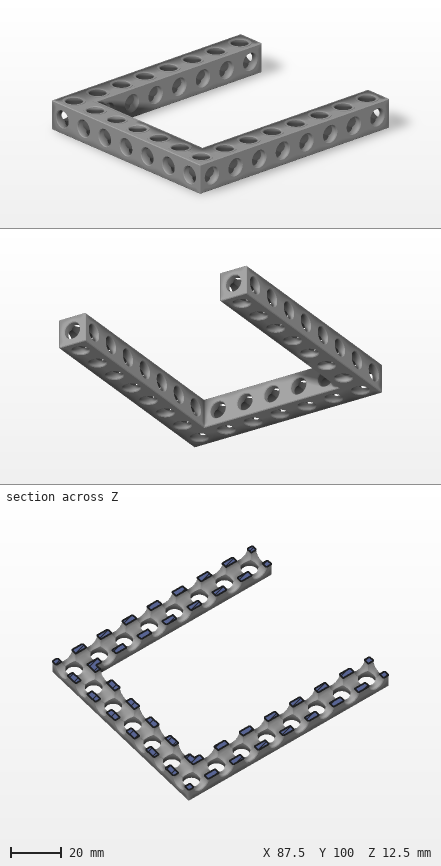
import cadquery as cq

pitch = 12.5
holes_across = 7
holes_along = 8
edge_chamfer = 0.3

bore_diameter = 7.0
mouth_chamfer = 0.3

recess_depth = 0.2
rim_width = 1.1
collar_diameter = 9.2
bridge_width = 0.1

width = holes_across * pitch
length = holes_along * pitch
half_pitch = pitch / 2
bore_radius = bore_diameter / 2
mouth_radius = bore_radius + mouth_chamfer

across = [(i + 0.5) * pitch for i in range(holes_across)]
along = [(i + 0.5) * pitch for i in range(holes_along)]
cross_bar_centers = [(x, along[0]) for x in across]
arm_centers = [(x, y) for x in (across[0], across[-1]) for y in along[1:]]
top_centers = cross_bar_centers + arm_centers


def u_prism(inset, bottom, height):
    """Prism of the U outline, open towards +Y, moved inwards by the inset."""
    outer = (
        cq.Workplane("XY", origin=(inset, inset, bottom))
        .rect(width - 2 * inset, length - 2 * inset, centered=False)
        .extrude(height)
    )
    opening = (
        cq.Workplane("XY", origin=(pitch - inset, pitch - inset, bottom))
        .rect(width - 2 * pitch + 2 * inset, length, centered=False)
        .extrude(height)
    )
    return outer.cut(opening)


def frame():
    """Plain U-shaped frame with all edges chamfered but the two upright inside corners."""
    body = u_prism(0, 0, pitch)
    return body.edges("#Z or <X or >X or >Y").chamfer(edge_chamfer)


def top_recess():
    """Material sunk out of the top face between rim, collars and bridge."""
    floor = pitch - recess_depth
    collars = (
        cq.Workplane("XY", origin=(0, 0, floor))
        .pushPoints(top_centers)
        .circle(collar_diameter / 2)
        .extrude(recess_depth)
    )
    bridge = (
        cq.Workplane("XY", origin=((across[-2] + across[-1]) / 2, along[0], floor))
        .rect(pitch - bore_diameter, bridge_width)
        .extrude(recess_depth)
    )
    return u_prism(rim_width, floor, recess_depth).cut(collars).cut(bridge)


def bore(start, direction, depth):
    """Straight bore with a conical mouth at both ends."""
    axis = cq.Vector(*direction)
    near = cq.Vector(*start)
    far = near + axis * depth
    hole = cq.Solid.makeCylinder(bore_radius, depth, near, axis)
    near_mouth = cq.Solid.makeCone(mouth_radius, bore_radius, mouth_chamfer, near, axis)
    far_mouth = cq.Solid.makeCone(mouth_radius, bore_radius, mouth_chamfer, far, axis * -1)
    return hole.fuse(near_mouth, far_mouth)


x_axis = (1, 0, 0)
y_axis = (0, 1, 0)
z_axis = (0, 0, 1)

bores = [bore((x, y, 0), z_axis, pitch) for x, y in top_centers]
bores += [bore((x, y, half_pitch), x_axis, pitch) for x in (0, width - pitch) for y in along[1:]]
bores += [bore((x, 0, half_pitch), y_axis, pitch) for x in across[1:-1]]

bores += [bore((0, along[0], half_pitch), x_axis, width)]
bores += [bore((x, 0, half_pitch), y_axis, length) for x in (across[0], across[-1])]

result = frame().cut(top_recess())
for cutter in bores:
    result = result.cut(cq.Workplane(cutter))